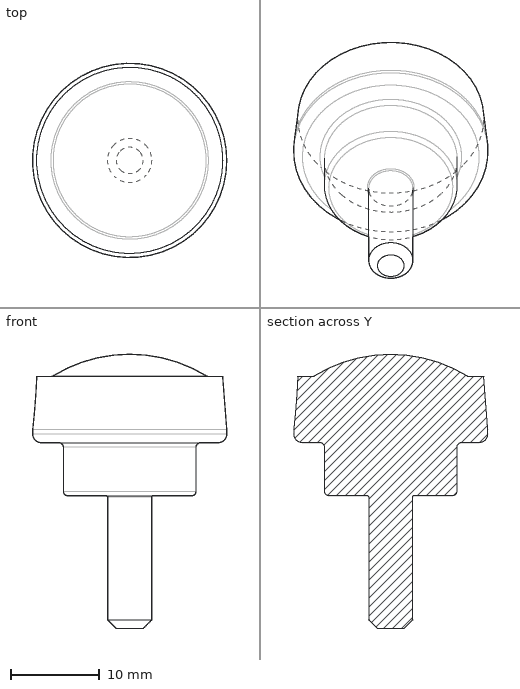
import cadquery as cq
import math

total_height = 31.0
rim_z = 28.5
band_top_z = 22.48
head_bottom_z = 21.0
hub_bottom_z = 15.0

head_radius = 21.95 / 2
rim_radius = 10.5
dome_foot_radius = 8.9
hub_radius = 15.0 / 2
stem_radius = 5.0 / 2

head_fillet = 1.0
hub_fillet = 0.5
stem_fillet = 0.15
tip_chamfer = 1.0
dome_fillet = 0.5


def quarter_arc(sketch, center, start_angle, radius, turn):
    """Add a quarter circle; turn is 90 or -90 degrees."""
    def point(angle):
        return (
            center[0] + radius * math.cos(math.radians(angle)),
            center[1] + radius * math.sin(math.radians(angle)),
        )

    start = point(start_angle)
    middle = point(start_angle + turn / 2)
    end = point(start_angle + turn)
    return sketch.lineTo(*start).threePointArc(middle, end)


outline = cq.Workplane("XZ").lineTo(stem_radius - tip_chamfer, 0)
outline = outline.lineTo(stem_radius, tip_chamfer)

stem_fillet_center = (stem_radius + stem_fillet, hub_bottom_z - stem_fillet)
outline = quarter_arc(outline, stem_fillet_center, 180, stem_fillet, -90)
hub_edge_center = (hub_radius - hub_fillet, hub_bottom_z + hub_fillet)
outline = quarter_arc(outline, hub_edge_center, -90, hub_fillet, 90)

hub_fillet_center = (hub_radius + hub_fillet, head_bottom_z - hub_fillet)
outline = quarter_arc(outline, hub_fillet_center, 180, hub_fillet, -90)
head_edge_center = (head_radius - head_fillet, head_bottom_z + head_fillet)
outline = quarter_arc(outline, head_edge_center, -90, head_fillet, 90)

outline = outline.lineTo(head_radius, band_top_z).lineTo(rim_radius, rim_z)
outline = outline.lineTo(dome_foot_radius, rim_z)

fillet_drop = total_height - (rim_z + dome_fillet)
sphere_radius = (dome_foot_radius**2 + fillet_drop**2 - dome_fillet**2) / (2 * (fillet_drop + dome_fillet))
sphere_center_z = total_height - sphere_radius
dome_half_angle = math.asin(dome_foot_radius / (sphere_radius + dome_fillet))

dome_fillet_middle = (
    dome_foot_radius - dome_fillet * math.sin(dome_half_angle / 2),
    rim_z + dome_fillet * (1 - math.cos(dome_half_angle / 2)),
)
dome_start = (
    sphere_radius * math.sin(dome_half_angle),
    sphere_center_z + sphere_radius * math.cos(dome_half_angle),
)
outline = outline.threePointArc(dome_fillet_middle, dome_start)

dome_middle = (
    sphere_radius * math.sin(dome_half_angle / 2),
    sphere_center_z + sphere_radius * math.cos(dome_half_angle / 2),
)
outline = outline.threePointArc(dome_middle, (0, total_height)).close()

result = outline.revolve(360, (0, 0, 0), (0, 1, 0))